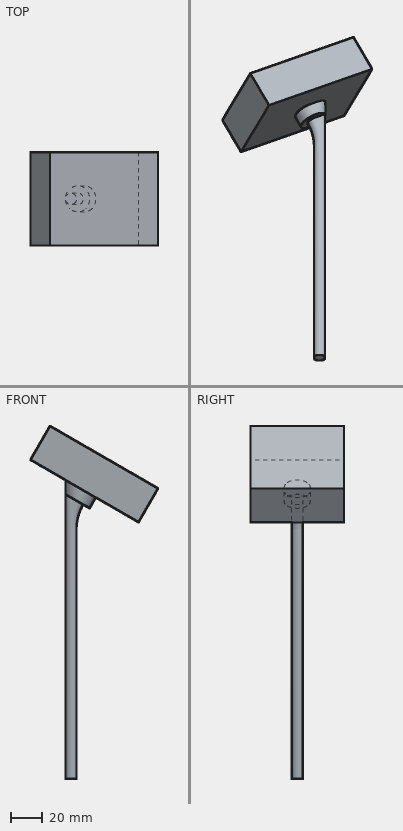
import cadquery as cq
import math

total_height = 226.0
tilt = 30.0
block_length = 80.0
block_width = 60.0
block_thickness = 25.0
block_left = -26.0
rod_diameter = 7.2
bend_radius = 35.3
socket_radius = 8.4
socket_depth = 8.0

tilt_cos = math.cos(math.radians(tilt))
tilt_sin = math.sin(math.radians(tilt))
tilt_tan = tilt_sin / tilt_cos
rod_radius = rod_diameter / 2

block_left_z = total_height - block_thickness * tilt_cos

pivot_x = bend_radius * (1 - tilt_cos)
underside_z = block_left_z - (pivot_x - block_left) * tilt_tan
pivot_z = underside_z - socket_depth / tilt_cos
bend_start_z = pivot_z - bend_radius * tilt_sin


def tilted_plane(x, z):
    """Plane parallel to the block underside, with its X axis down the slope."""
    return cq.Plane(origin=(x, 0, z), xDir=(tilt_cos, 0, -tilt_sin), normal=(tilt_sin, 0, tilt_cos))


def make_block():
    """Rectangular block standing on its tilted underside."""
    return (
        cq.Workplane(tilted_plane(block_left, block_left_z))
        .rect(block_length, block_width)
        .extrude(block_thickness)
        .translate((block_length / 2 * tilt_cos, 0, -block_length / 2 * tilt_sin))
    )


def make_socket(layer):
    """Upright half cylinder and tilted cylinder joined by a flat-sided wedge, trimmed to the layer."""
    reach = 4 * socket_depth
    upright = (
        cq.Workplane("XY", origin=(pivot_x, 0, pivot_z - socket_depth))
        .moveTo(0, socket_radius)
        .threePointArc((-socket_radius, 0), (0, -socket_radius))
        .close()
        .extrude(reach)
    )
    tilted = cq.Workplane(tilted_plane(pivot_x, pivot_z)).circle(socket_radius).extrude(socket_depth)
    wedge = (
        cq.Workplane("XZ")
        .moveTo(pivot_x, pivot_z)
        .lineTo(pivot_x, pivot_z + reach)
        .lineTo(pivot_x + reach * tilt_sin, pivot_z + reach * tilt_cos)
        .close()
        .extrude(socket_radius, both=True)
    )
    return upright.union(wedge).intersect(layer).union(tilted)


def make_rod(layer):
    """Straight rod, ending at the sloping lower face of the socket."""
    return cq.Workplane("XY").circle(rod_radius).extrude(pivot_z + socket_depth).cut(layer)


def make_branch():
    """Rod branch bending away from the straight rod, with a flat web between them."""
    centre = (bend_radius, bend_start_z)
    middle_angle = math.radians(tilt / 2)
    arc_middle = (
        centre[0] - bend_radius * math.cos(middle_angle),
        centre[1] + bend_radius * math.sin(middle_angle),
    )
    arc_end = (pivot_x, pivot_z)
    path = cq.Workplane("XZ").moveTo(0, bend_start_z).threePointArc(arc_middle, arc_end)
    bent_rod = cq.Workplane("XY", origin=(0, 0, bend_start_z)).circle(rod_radius).sweep(path)
    web = (
        cq.Workplane("XZ")
        .moveTo(0, bend_start_z)
        .threePointArc(arc_middle, arc_end)
        .lineTo(0, pivot_z + pivot_x * tilt_tan)
        .close()
        .extrude(rod_radius, both=True)
    )
    return bent_rod.union(web)


socket_layer = (
    cq.Workplane(tilted_plane(pivot_x, pivot_z))
    .rect(block_length, block_width)
    .extrude(socket_depth)
)

result = (
    make_block()
    .union(make_socket(socket_layer))
    .union(make_rod(socket_layer))
    .union(make_branch())
)